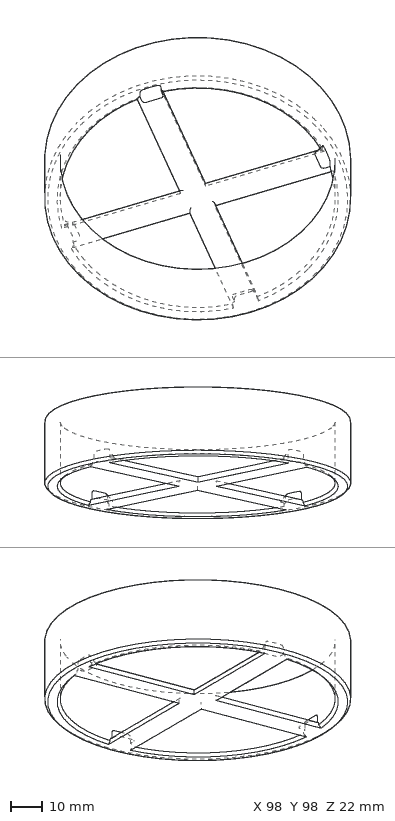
import cadquery as cq

outer_diameter = 98.0
inner_diameter = 88.0
height = 22.0
rim_round = 1.0
bottom_chamfer = 1.0

arm_width = 8.5
arm_thickness = 2.0
arm_edge_round = 0.7

gusset_width = arm_width - 2 * arm_edge_round
gusset_reach = 3.0
gusset_rise = 3.0
gusset_edge_round = 0.9

inner_radius = inner_diameter / 2
embed = (outer_diameter - inner_diameter) / 4


def make_ring():
    ring = cq.Workplane("XY").circle(outer_diameter / 2).circle(inner_radius).extrude(height)
    ring = ring.faces(">Z").edges().fillet(rim_round)
    return ring.faces("<Z").edges().chamfer(bottom_chamfer)


def make_cross():
    length = inner_diameter + 2 * embed
    along_x = cq.Workplane("XY").box(length, arm_width, arm_thickness, centered=(True, True, False))
    along_y = along_x.rotate((0, 0, 0), (0, 0, 1), 90)
    return along_x.union(along_y).faces(">Z").edges().fillet(arm_edge_round)


def make_gusset():
    """Wedge on the +X arm, rising at a slope toward the wall."""
    toe = inner_radius - gusset_reach
    back = inner_radius + embed
    top = arm_thickness + gusset_rise
    wedge = (
        cq.Workplane("XZ")
        .moveTo(toe, arm_thickness)
        .lineTo(inner_radius, top)
        .lineTo(back, top)
        .lineTo(back, arm_thickness)
        .close()
        .extrude(gusset_width / 2, both=True)
    )
    return wedge.faces("<X").edges("not |Y").fillet(gusset_edge_round)


result = make_ring().union(make_cross())
gusset = make_gusset()
for quarter in range(4):
    result = result.union(gusset.rotate((0, 0, 0), (0, 0, 1), 90 * quarter))